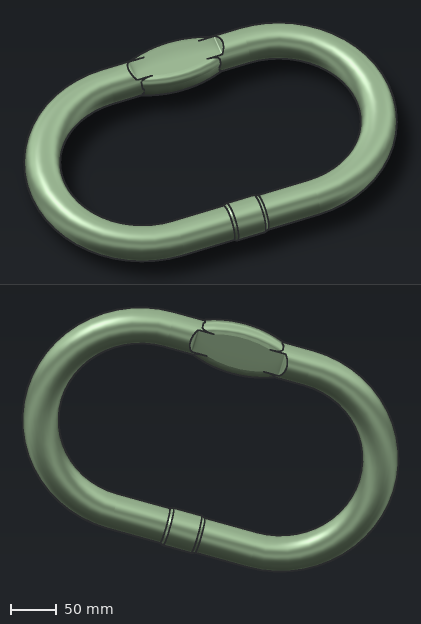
import cadquery as cq

bar_diameter = 40.0
bend_radius = 110.0
straight_length = 160.0
bar_radius = bar_diameter / 2
half_straight = straight_length / 2

collar_diameter = 43.0
collar_length = 40.0
collar_taper_length = 4.0
collar_radius = collar_diameter / 2

grip_thickness = 30.0
grip_half_width = 27.9
grip_length = 92.0
grip_side_radius = 125.0
grip_edge_radius = 10.0
flat_length = 100.0
ramp_fillet_radius = 3.0
half_thickness = grip_thickness / 2
half_grip = grip_length / 2
half_flat = flat_length / 2
ramp_run = bar_radius - half_thickness


def oval_bar():
    """Round bar swept along two straights and two half circles."""
    path = (
        cq.Workplane("XY")
        .moveTo(bend_radius, -half_straight)
        .lineTo(bend_radius, half_straight)
        .threePointArc((0, half_straight + bend_radius), (-bend_radius, half_straight))
        .lineTo(-bend_radius, -half_straight)
        .threePointArc((0, -half_straight - bend_radius), (bend_radius, -half_straight))
        .close()
    )
    section_plane = cq.Plane(
        origin=(bend_radius, -half_straight, 0), xDir=(1, 0, 0), normal=(0, 1, 0)
    )
    return cq.Workplane(section_plane).circle(bar_radius).sweep(path)


def collar():
    """Sleeve with tapered ends, turned about the +X straight."""
    half_length = collar_length / 2
    half_full_length = half_length - collar_taper_length
    return (
        cq.Workplane("XY")
        .center(bend_radius, 0)
        .moveTo(0, -half_length)
        .lineTo(bar_radius, -half_length)
        .lineTo(collar_radius, -half_full_length)
        .lineTo(collar_radius, half_full_length)
        .lineTo(bar_radius, half_length)
        .lineTo(0, half_length)
        .close()
        .revolve(360, (0, 0, 0), (0, 1, 0))
    )


def flat_cutter():
    """Trapezoidal prism that flattens the top of the bar, with ramps rounded into the flat."""
    clearance = ramp_run
    half_outer = half_flat + ramp_run + clearance
    z_outer = bar_radius + clearance
    return (
        cq.Workplane("YZ", origin=(-bend_radius, 0, 0))
        .moveTo(-half_flat, half_thickness)
        .lineTo(half_flat, half_thickness)
        .lineTo(half_outer, z_outer)
        .lineTo(-half_outer, z_outer)
        .close()
        .extrude(bar_radius + clearance, both=True)
        .faces("<Z")
        .edges("|X")
        .fillet(ramp_fillet_radius)
    )


def grip():
    """Plate with two bowed sides, rounded along their upper and lower edges."""
    side_center = grip_side_radius - grip_half_width
    end_half_width = (grip_side_radius**2 - half_grip**2) ** 0.5 - side_center
    return (
        cq.Workplane("XY", origin=(-bend_radius, 0, 0))
        .moveTo(end_half_width, -half_grip)
        .threePointArc((grip_half_width, 0), (end_half_width, half_grip))
        .lineTo(-end_half_width, half_grip)
        .threePointArc((-grip_half_width, 0), (-end_half_width, -half_grip))
        .close()
        .extrude(half_thickness, both=True)
        .edges("%CIRCLE")
        .fillet(grip_edge_radius)
    )


top_cutter = flat_cutter()
bottom_cutter = top_cutter.mirror("XY")

result = oval_bar().union(collar())
result = result.cut(top_cutter).cut(bottom_cutter)
result = result.union(grip())